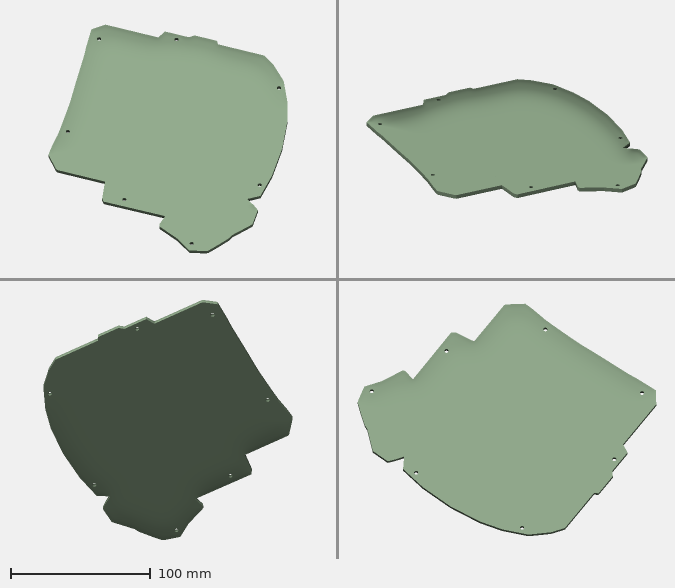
import cadquery as cq

plate_length = 184.2
plate_width = 161.4
plate_thickness = 3.0
hole_diameter = 3.0

right_side = plate_width / 2
left_side = -plate_width / 2
back_side = plate_length / 2
front_side = -plate_length / 2

back_ledge = 89.3
back_left_edge = 82.9
front_left_edge = -50.8
front_tab_edge = -68.2
lobe_right_side = 79.8

back_corners = [
    (left_side, 76.0),
    (-72.2, back_left_edge),
    (-32.8, back_left_edge),
    (-29.7, back_ledge),
    (-11.8, back_ledge),
    (-8.5, back_side),
    (8.5, back_side),
    (10.0, back_ledge),
    (44.5, back_ledge),
]

bow_corners = [
    (53.2, 83.5),
    (64.5, 71.7),
    (72.5, 54.2),
    (77.4, 37.8),
    (right_side, 13.8),
    (right_side, -11.0),
    (78.0, -31.0),
]

lobe_corners = [
    (69.6, -36.3),
    (75.9, -40.3),
    (lobe_right_side, -43.5),
    (lobe_right_side, -56.7),
    (68.5, -70.2),
    (67.0, -73.7),
    (61.2, -81.8),
    (56.0, -88.5),
    (54.2, -89.2),
    (43.3, front_side),
    (32.5, -84.7),
    (16.4, -77.7),
    (15.8, -75.9),
    (17.7, -67.8),
]

front_corners = [
    (-6.8, -68.0),
    (-28.2, front_tab_edge),
    (-30.0, -65.8),
    (-32.5, front_left_edge),
    (-68.3, front_left_edge),
    (-69.6, -49.7),
]

left_corners = [
    (-78.1, -39.5),
    (-78.0, -32.5),
    (-76.8, -20.8),
    (-76.6, -13.8),
    (-76.6, 4.2),
    (-76.8, 11.8),
    (-77.5, 23.4),
    (-78.0, 29.8),
    (-78.3, 37.5),
    (-79.0, 52.9),
    (-79.8, 59.3),
    (-80.5, 72.0),
]

hole_centres = [
    (-19.7, 85.0),
    (-73.0, 69.5),
    (63.0, 64.8),
    (-70.7, -15.8),
    (74.6, -21.7),
    (-14.5, -62.0),
    (43.0, -85.7),
]

outline_corners = back_corners + bow_corners + lobe_corners + front_corners + left_corners

plate = (
    cq.Workplane("XY")
    .workplane(offset=-plate_thickness / 2)
    .polyline(outline_corners)
    .close()
    .extrude(plate_thickness)
)

result = (
    plate.faces(">Z")
    .workplane(origin=(0, 0, plate_thickness / 2))
    .pushPoints(hole_centres)
    .hole(hole_diameter)
)